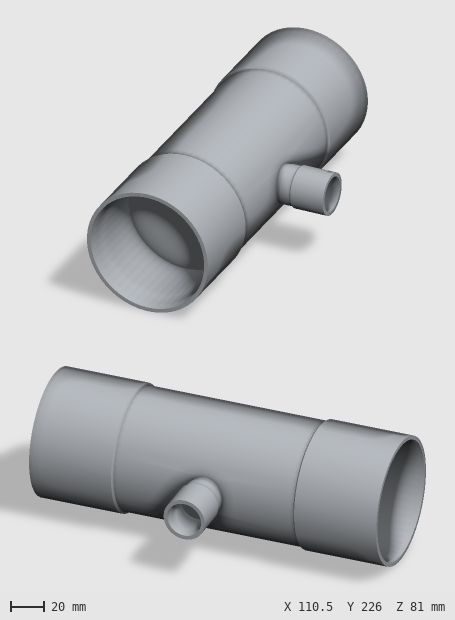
import cadquery as cq

body_length = 226.0
body_diameter = 78.0
socket_diameter = 81.0
socket_bore = 76.0
socket_length = 53.3
socket_taper = 1.1

branch_end = 70.0
branch_root_diameter = 24.5
branch_neck_diameter = 25.0
branch_neck_start = 41.0
branch_socket_length = 21.7
branch_taper = 1.1

wall = (socket_diameter - socket_bore) / 2
branch_socket_diameter = 27.0
branch_bore = branch_socket_diameter - 2 * wall


def make_body():
    """Solid round body with a tapered shoulder behind each end socket."""
    half_length = body_length / 2
    socket_back = half_length - socket_length
    taper_start = socket_back - socket_taper
    body_radius = body_diameter / 2
    socket_radius = socket_diameter / 2
    profile = (
        cq.Workplane("XY")
        .moveTo(0, -half_length)
        .lineTo(socket_radius, -half_length)
        .lineTo(socket_radius, -socket_back)
        .lineTo(body_radius, -taper_start)
        .lineTo(body_radius, taper_start)
        .lineTo(socket_radius, socket_back)
        .lineTo(socket_radius, half_length)
        .lineTo(0, half_length)
        .close()
    )
    return profile.revolve(360, (0, 0, 0), (0, 1, 0))


def make_branch():
    """Stepped branch starting on the body axis, with a tapered socket shoulder."""
    socket_back = branch_end - branch_socket_length
    root_radius = branch_root_diameter / 2
    neck_radius = branch_neck_diameter / 2
    socket_radius = branch_socket_diameter / 2
    profile = (
        cq.Workplane("XY")
        .moveTo(0, 0)
        .lineTo(0, root_radius)
        .lineTo(branch_neck_start, root_radius)
        .lineTo(branch_neck_start, neck_radius)
        .lineTo(socket_back - branch_taper, neck_radius)
        .lineTo(socket_back, socket_radius)
        .lineTo(branch_end, socket_radius)
        .lineTo(branch_end, 0)
        .close()
    )
    return profile.revolve(360, (0, 0, 0), (1, 0, 0))


def socket_recess(end_plane, diameter, depth):
    """Blind bore cut inward from a plane whose normal points out of the part."""
    return cq.Workplane(end_plane).circle(diameter / 2).extrude(-depth)


result = make_body().union(make_branch())

for side in (-1, 1):
    end_plane = cq.Plane(origin=(0, side * body_length / 2, 0), normal=(0, side, 0))
    result = result.cut(socket_recess(end_plane, socket_bore, socket_length))

branch_plane = cq.Plane(origin=(branch_end, 0, 0), normal=(1, 0, 0))
result = result.cut(socket_recess(branch_plane, branch_bore, branch_socket_length))